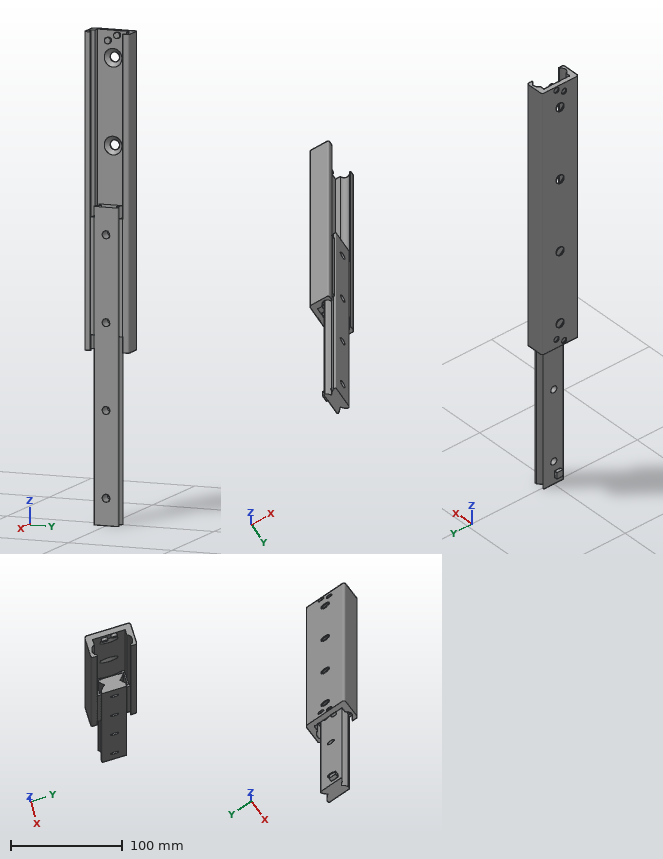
import cadquery as cq
import math

total_length = 448.0
rail_length = 290.0
mount_end = 25.0
mount_count = 4
mount_pitch = (rail_length - 2 * mount_end) / (mount_count - 1)

outer_width = 43.0
outer_depth = 20.5
outer_web = 5.0
outer_bottom = total_length - rail_length
cavity_half = 15.2
back_fillet = 2.2
lip_fillet = 2.0
lip_half_gap = 15.5
outer_hole = 9.0
outer_hole_land = 1.0

track_x = 15.0
track_radius = 5.0
track_center_y = 14.0

inner_back = 9.0
inner_front = 22.0
inner_width = 23.5
inner_fillet = 1.0
inner_hole = 7.0
groove_mouth_half = 4.5
groove_shoulder_half = 2.2
groove_shoulder_depth = 2.0
groove_depth = 4.25

cage_back = 5.5
cage_web = 2.0
cage_arm = 1.5
cage_half = 14.5
cage_bottom = 172.5
cage_length = 107.5
bead_width = 2.0
bead_half_thickness = 2.0
cage_notch_radius = 13.5
cage_notch_half = 10.8

rivet_diameter = 6.0
rivet_recess = 1.5
rivet_inner_end = 7.5
rivet_y = 4.5
rivet_near_end = 4.0
rivet_far_end = 9.5

stop_head = 7.0
stop_head_height = 3.5
stop_shank_diameter = 7.0
stop_shank_length = 9.0
stop_y = -4.25
stop_z = 10.8

rivet_spots = [
    (rivet_y, total_length - rivet_near_end),
    (-rivet_y, total_length - rivet_far_end),
    (rivet_y, outer_bottom + rivet_far_end),
    (-rivet_y, outer_bottom + rivet_near_end),
]


def rod_along_x(diameter, x, length, y, z):
    """A round bar that starts at x and runs towards +X."""
    return cq.Workplane("YZ", origin=(x, y, z)).circle(diameter / 2).extrude(length)


def mount_heights(bottom):
    """Heights of the mounting holes of a rail that starts at the given height."""
    return [bottom + mount_end + i * mount_pitch for i in range(mount_count)]


def countersunk_hole(z):
    """Cutter for a hole through the outer web, countersunk at 45 degrees from the inside."""
    sink_depth = outer_web - outer_hole_land
    radius = outer_hole / 2
    cone = cq.Workplane("XY").add(
        cq.Solid.makeCone(
            radius, radius + sink_depth, sink_depth, cq.Vector(outer_hole_land, 0, z), cq.Vector(1, 0, 0)
        )
    )
    return rod_along_x(outer_hole, 0, outer_web, 0, z).union(cone)


def make_outer_rail():
    body = cq.Workplane("XY", origin=(outer_depth / 2, 0, outer_bottom))
    body = body.rect(outer_depth, outer_width).extrude(rail_length)
    body = body.edges("|Z and <X").fillet(back_fillet)
    body = body.edges("|Z and >X").fillet(lip_fillet)

    floor_rise = cavity_half - track_center_y
    lip_rise = lip_half_gap - track_center_y
    track_start = track_x - math.sqrt(track_radius**2 - floor_rise**2)
    track_end = track_x + math.sqrt(track_radius**2 - lip_rise**2)
    track_top = track_center_y + track_radius
    cavity = (
        cq.Workplane("XY", origin=(0, 0, outer_bottom))
        .moveTo(outer_web, -cavity_half)
        .lineTo(track_start, -cavity_half)
        .threePointArc((track_x, -track_top), (track_end, -lip_half_gap))
        .lineTo(outer_depth, -lip_half_gap)
        .lineTo(outer_depth, lip_half_gap)
        .lineTo(track_end, lip_half_gap)
        .threePointArc((track_x, track_top), (track_start, cavity_half))
        .lineTo(outer_web, cavity_half)
        .close()
        .extrude(rail_length)
    )
    body = body.cut(cavity)

    for z in mount_heights(outer_bottom):
        body = body.cut(countersunk_hole(z))
    for y, z in rivet_spots:
        body = body.cut(rod_along_x(rivet_diameter, 0, outer_web, y, z))
    return body


def groove_cutter(side):
    """V groove with flared sides along one side of the inner rail; side is +1 or -1."""
    mouth = side * inner_width / 2
    shoulder = mouth - side * groove_shoulder_depth
    bottom = mouth - side * groove_depth
    outline = [
        (track_x - groove_mouth_half, mouth),
        (track_x - groove_shoulder_half, shoulder),
        (track_x, bottom),
        (track_x + groove_shoulder_half, shoulder),
        (track_x + groove_mouth_half, mouth),
    ]
    return cq.Workplane("XY").polyline(outline).close().extrude(rail_length)


def make_inner_rail():
    depth = inner_front - inner_back
    body = cq.Workplane("XY", origin=(inner_back + depth / 2, 0, 0))
    body = body.rect(depth, inner_width).extrude(rail_length)
    body = body.edges("|Z").fillet(inner_fillet)
    for side in (1, -1):
        body = body.cut(groove_cutter(side))
    for z in mount_heights(0):
        body = body.cut(rod_along_x(inner_hole, inner_back, depth, 0, z))
    return body.cut(rod_along_x(stop_shank_diameter, inner_back, stop_shank_length, stop_y, stop_z))


def make_cage():
    def slab(x_from, x_to, y_from, y_to):
        return (
            cq.Workplane("XY", origin=(x_from, y_from, cage_bottom))
            .rect(x_to - x_from, y_to - y_from, centered=False)
            .extrude(cage_length)
        )

    body = slab(cage_back, cage_back + cage_web, -cage_half, cage_half)
    arm_middle = cage_half - cage_arm / 2
    for side in (1, -1):
        y = side * arm_middle
        body = body.union(slab(cage_back, outer_depth, y - cage_arm / 2, y + cage_arm / 2))
        bead_start = outer_depth - bead_width
        body = body.union(slab(bead_start, outer_depth, y - bead_half_thickness, y + bead_half_thickness))

    notch_rise = math.sqrt(cage_notch_radius**2 - cage_notch_half**2)
    notch_z = cage_bottom + cage_length + notch_rise
    return body.cut(rod_along_x(2 * cage_notch_radius, cage_back, cage_web, 0, notch_z))


def make_rivet(y, z):
    return rod_along_x(rivet_diameter, rivet_recess, rivet_inner_end - rivet_recess, y, z)


def make_stop():
    head = cq.Workplane("YZ", origin=(inner_back - stop_head_height, stop_y, stop_z))
    head = head.rect(stop_head, stop_head).extrude(stop_head_height)
    return head.union(rod_along_x(stop_shank_diameter, inner_back, stop_shank_length, stop_y, stop_z))


outer_rail = make_outer_rail()
inner_rail = make_inner_rail()
cage = make_cage()
rivets = [make_rivet(y, z) for y, z in rivet_spots]
stop = make_stop()

result = cq.Compound.makeCompound(
    [outer_rail.val(), inner_rail.val(), cage.val(), stop.val(), *[rivet.val() for rivet in rivets]]
)